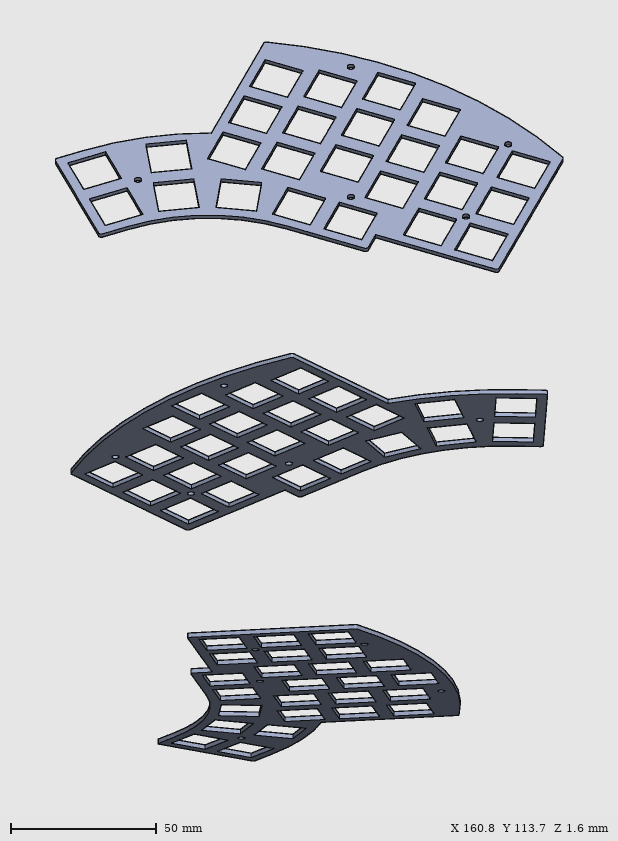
import cadquery as cq
import math


THICKNESS = 1.6
PLATE_WIDTH = 160.8
PLATE_HEIGHT = 113.68

KEY_SIZE = 14.0
KEY_PITCH = 19.05
KEY_ROWS = 3
SCREW_DIAMETER = 2.4
CORNER_RADIUS = 1.0

BORDER = 1.0
EDGE_MARGIN = KEY_PITCH / 2 + BORDER

BOTTOM_ROW_Y = [55.05, 57.45, 64.0, 57.95, 46.05, 46.05]
LAST_COLUMN_X = PLATE_WIDTH - EDGE_MARGIN
FIRST_COLUMN_X = LAST_COLUMN_X - (len(BOTTOM_ROW_Y) - 1) * KEY_PITCH

FAN_RADIUS = 81.9
FAN_END = 45.0
FAN_STEPS = 3
FAN_STEP_ANGLE = FAN_END / FAN_STEPS
FIRST_DOUBLE_STEP = 2
INNER_EDGE_RADIUS = FAN_RADIUS - EDGE_MARGIN
OUTER_EDGE_RADIUS = FAN_RADIUS + KEY_PITCH + EDGE_MARGIN

CORNER_CUT = CORNER_RADIUS * (math.sqrt(2) - 1)
FAN_X = (OUTER_EDGE_RADIUS + EDGE_MARGIN) / math.sqrt(2) - CORNER_CUT
FAN_Y = -(INNER_EDGE_RADIUS - EDGE_MARGIN) / math.sqrt(2) - CORNER_CUT
STRAIGHT_THUMB = (FAN_X + KEY_PITCH, FAN_Y + FAN_RADIUS)

LEFT_X = FIRST_COLUMN_X - EDGE_MARGIN
LOWER_Y = BOTTOM_ROW_Y[-1] - EDGE_MARGIN
STEP_X = STRAIGHT_THUMB[0] + EDGE_MARGIN
STEP_Y = FAN_Y + INNER_EDGE_RADIUS
TOP_RADIUS = PLATE_HEIGHT - FAN_Y

SCREW_CENTRES = [
    (76.5, 108.1),
    (140.75, 93.6),
    (140.75, 55.5),
    (100.6, 49.4),
    (29.9, 29.4),
]


def fan_point(radius, angle, along=0.0):
    """Point at a radius and turn angle of the fan, shifted outward along the tangent."""
    turn = math.radians(angle)
    x = FAN_X - radius * math.sin(turn) - along * math.cos(turn)
    y = FAN_Y + radius * math.cos(turn) - along * math.sin(turn)
    return (x, y)


def arc_point(radius, x):
    """Upper point at a given x on a circle about the fan centre."""
    return (x, FAN_Y + math.sqrt(radius**2 - (x - FAN_X)**2))


def plate():
    """Solid sheet with its outward corners rounded."""
    step_corner = (STEP_X, STEP_Y)
    lower_right = (PLATE_WIDTH, LOWER_Y)
    top_right = arc_point(TOP_RADIUS, PLATE_WIDTH)
    top_left = arc_point(TOP_RADIUS, LEFT_X)
    outer_end = fan_point(OUTER_EDGE_RADIUS, FAN_END, EDGE_MARGIN)
    inner_end = fan_point(INNER_EDGE_RADIUS, FAN_END, EDGE_MARGIN)
    mid_turn = FAN_END - FAN_STEP_ANGLE

    sheet = (
        cq.Workplane("XY")
        .moveTo(FAN_X, STEP_Y)
        .lineTo(*step_corner)
        .lineTo(STEP_X, LOWER_Y)
        .lineTo(*lower_right)
        .lineTo(*top_right)
        .threePointArc((FAN_X, PLATE_HEIGHT), top_left)
        .lineTo(*arc_point(OUTER_EDGE_RADIUS, LEFT_X))
        .threePointArc(fan_point(OUTER_EDGE_RADIUS, mid_turn), fan_point(OUTER_EDGE_RADIUS, FAN_END))
        .lineTo(*outer_end)
        .lineTo(*inner_end)
        .lineTo(*fan_point(INNER_EDGE_RADIUS, FAN_END))
        .threePointArc(fan_point(INNER_EDGE_RADIUS, mid_turn), (FAN_X, STEP_Y))
        .close()
        .extrude(THICKNESS)
    )
    for x, y in [step_corner, lower_right, top_right, top_left, outer_end, inner_end]:
        corner_edge = cq.selectors.NearestToPointSelector((x, y, THICKNESS / 2))
        sheet = sheet.edges(corner_edge).fillet(CORNER_RADIUS)
    return sheet


def key_cutter(centre, angle):
    """Square switch opening at a centre, turned counter-clockwise by an angle."""
    square = cq.Workplane("XY").rect(KEY_SIZE, KEY_SIZE).extrude(THICKNESS)
    return square.rotate((0, 0, 0), (0, 0, 1), angle).translate((*centre, 0))


def key_places():
    """Centre and turn angle of every switch opening."""
    places = []
    for column, bottom_y in enumerate(BOTTOM_ROW_Y):
        x = FIRST_COLUMN_X + column * KEY_PITCH
        for row in range(KEY_ROWS):
            places.append(((x, bottom_y + row * KEY_PITCH), 0.0))
    places.append((STRAIGHT_THUMB, 0.0))
    for step in range(FAN_STEPS + 1):
        angle = step * FAN_STEP_ANGLE
        places.append((fan_point(FAN_RADIUS, angle), angle))
        if step >= FIRST_DOUBLE_STEP:
            places.append((fan_point(FAN_RADIUS + KEY_PITCH, angle), angle))
    return places


def screw_cutters():
    """Round through holes for the screws."""
    return cq.Workplane("XY").pushPoints(SCREW_CENTRES).circle(SCREW_DIAMETER / 2).extrude(THICKNESS)


result = plate()
for key_centre, key_angle in key_places():
    result = result.cut(key_cutter(key_centre, key_angle))
result = result.cut(screw_cutters())